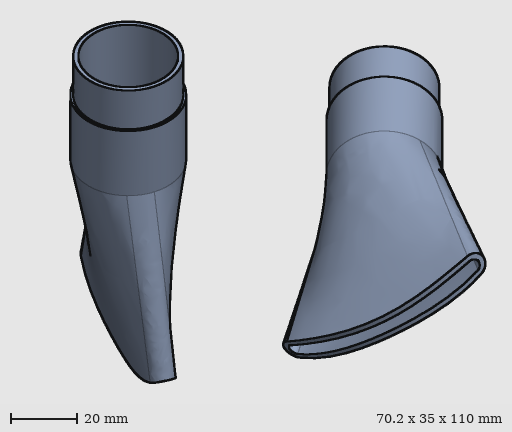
import cadquery as cq
import math

total_height = 110.0
bore_diameter = 30.0
spigot_diameter = 33.2
collar_diameter = 35.0
spigot_length = 15.0
collar_length = 25.0
flare_top = total_height - spigot_length - collar_length

mouth_length = 76.9
mouth_width = 8.0
mouth_wall = 2.0
mouth_arc_radius = 60.5

edge_corner_offset = 2.2
far_corner_offset = 6.3


def neck_outline(radius):
    """Circle split into four arcs that pair with the four edges of the mouth slot."""
    scale = 2 * radius / collar_diameter
    y = edge_corner_offset * scale
    far_y = far_corner_offset * scale
    x = math.sqrt(radius**2 - y**2)
    far_x = math.sqrt(radius**2 - far_y**2)
    return (
        cq.Workplane("XY", origin=(0, 0, flare_top))
        .moveTo(-x, -y)
        .threePointArc((0, -radius), (far_x, -far_y))
        .threePointArc((radius, 0), (x, y))
        .threePointArc((0, radius), (-x, y))
        .threePointArc((-radius, 0), (-x, -y))
        .close()
        .val()
    )


def mouth_outline(length, width):
    """Slot with full-round ends, started at the same corner as the neck outline."""
    end_radius = width / 2
    x = length / 2 - end_radius
    return (
        cq.Workplane("XY")
        .moveTo(-x, -end_radius)
        .lineTo(x, -end_radius)
        .threePointArc((length / 2, 0), (x, end_radius))
        .lineTo(-x, end_radius)
        .threePointArc((-length / 2, 0), (-x, -end_radius))
        .close()
        .val()
    )


def flare(neck_diameter, length, width):
    """Straight-sided transition from the flat mouth to the round neck."""
    outlines = [mouth_outline(length, width), neck_outline(neck_diameter / 2)]
    return cq.Workplane(cq.Solid.makeLoft(outlines, True))


def cylinder(diameter, bottom, height):
    return cq.Workplane("XY", origin=(0, 0, bottom)).circle(diameter / 2).extrude(height)


def mouth_trim():
    """Envelope whose lower side is the arc that rounds off the mouth."""
    arc_center = mouth_arc_radius
    return (
        cq.Workplane("XZ")
        .moveTo(-mouth_arc_radius, total_height)
        .lineTo(-mouth_arc_radius, arc_center)
        .threePointArc((0, 0), (mouth_arc_radius, arc_center))
        .lineTo(mouth_arc_radius, total_height)
        .close()
        .extrude(collar_diameter, both=True)
    )


body = (
    flare(collar_diameter, mouth_length, mouth_width)
    .union(cylinder(collar_diameter, flare_top, collar_length))
    .union(cylinder(spigot_diameter, flare_top + collar_length, spigot_length))
)

passage = flare(
    bore_diameter,
    mouth_length - 2 * mouth_wall,
    mouth_width - 2 * mouth_wall,
).union(cylinder(bore_diameter, flare_top, total_height - flare_top))

result = body.cut(passage).intersect(mouth_trim())